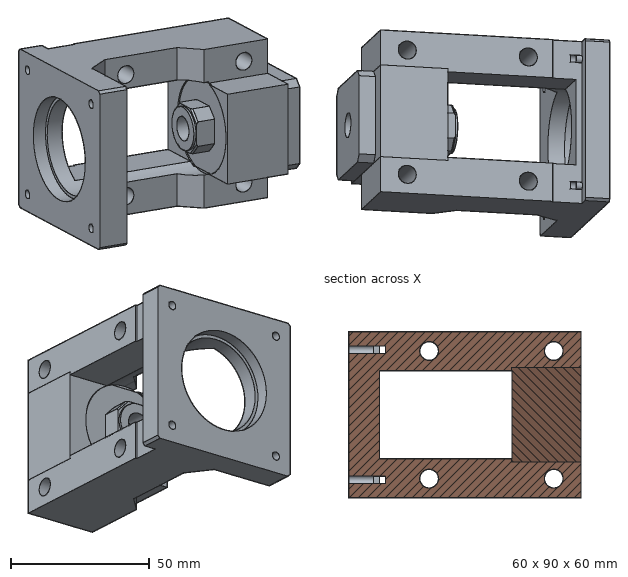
import cadquery as cq


plate_side = 60.0
total_length = 90.0
cover_thickness = 6.0
half_side = plate_side / 2
bracket_length = total_length - cover_thickness

plate_thickness = 11.25
mount_side_thickness = 9.0
plate_corner_chamfer = 1.0
pilot_radius = 19.2
pilot_depth = 5.0
bore_radius = 17.9
motor_hole_radius = 1.575
motor_hole_offset = 23.5
motor_hole_depth = 13.3
bulge_overlap = 0.1
bulge_radius = motor_hole_radius + bulge_overlap

mount_face_x = -25.0
relief_depth = 0.6
relief_end_y = 20.0
relief_x = mount_face_x + relief_depth
rail_inner_x = -2.8
rail_outer_x = 4.05
waist_start_y = 20.4
waist_end_y = 50.3
wide_end_y = 57.7
slot_height = 31.7
bolt_hole_radius = 3.3
bolt_hole_offset_z = 23.0
bolt_hole_first_y = 29.1
bolt_hole_spacing = 45.0

block_side = 34.0
block_length = 25.0
block_front_y = bracket_length - block_length
block_max_x = 19.1
recess_depth = 0.5
recess_y = block_front_y + recess_depth
cover_corner_chamfer = 2.5
screw_bore_radius = 4.5

nut_side = 17.0
nut_corner_chamfer = 3.9
nut_front_y = 52.0
nut_edge_chamfer_length = 0.6
nut_edge_chamfer_width = 0.5
collar_radius = 8.1
collar_length = 0.9


def span_box(x_range, y_range, z_height):
    """Box between two X and two Y limits, centred on Z = 0."""
    x_start, x_end = x_range
    y_start, y_end = y_range
    return cq.Workplane("XY").box(
        x_end - x_start, y_end - y_start, z_height, centered=(False, False, True)
    ).translate((x_start, y_start, 0))


def rod_y(radius, y_start, y_end, x=0, z=0):
    """Cylinder parallel to Y between two Y positions."""
    axis_start = cq.Vector(x, y_start, z)
    return cq.Workplane(cq.Solid.makeCylinder(radius, y_end - y_start, axis_start, cq.Vector(0, 1, 0)))


def rod_x(radius, x_start, x_end, y, z):
    """Cylinder parallel to X between two X positions."""
    axis_start = cq.Vector(x_start, y, z)
    return cq.Workplane(cq.Solid.makeCylinder(radius, x_end - x_start, axis_start, cq.Vector(1, 0, 0)))


def square_bar(side, y_start, y_end, corner_chamfer):
    """Square bar along Y with chamfered corners."""
    bar = span_box((-side / 2, side / 2), (y_start, y_end), side)
    return bar.edges("|Y").chamfer(corner_chamfer)


def bracket_blank():
    """Plan outline of plate and rails extruded to full height, with the plate corners chamfered."""
    outline = [
        (-half_side, 0),
        (half_side, 0),
        (half_side, plate_thickness),
        (rail_outer_x, plate_thickness),
        (rail_inner_x, waist_start_y),
        (rail_inner_x, waist_end_y),
        (rail_outer_x, wide_end_y),
        (rail_outer_x, bracket_length),
        (mount_face_x, bracket_length),
        (mount_face_x, relief_end_y),
        (relief_x, relief_end_y),
        (relief_x, mount_side_thickness),
        (-half_side, mount_side_thickness),
    ]
    blank = cq.Workplane("XY").polyline(outline).close().extrude(half_side, both=True)
    return blank.edges("|Y and (<X or >X)").chamfer(plate_corner_chamfer)


def block_seat():
    """Envelope of the bearing block, also used as the pocket that receives it."""
    return span_box((mount_face_x, block_max_x), (block_front_y, bracket_length), block_side)


def coupling_bore():
    """Pilot for the motor flange and the bore that runs on into the face of the bearing block."""
    return rod_y(pilot_radius, 0, pilot_depth).union(rod_y(bore_radius, 0, recess_y))


def make_bracket():
    slot = span_box((mount_face_x, half_side), (plate_thickness, bracket_length), slot_height)
    bracket = bracket_blank().cut(slot).cut(block_seat()).cut(coupling_bore())

    for x in (-motor_hole_offset, motor_hole_offset):
        for z in (-motor_hole_offset, motor_hole_offset):
            bracket = bracket.cut(rod_y(motor_hole_radius, 0, motor_hole_depth, x, z))

    outside_rail = span_box((-half_side, relief_x), (mount_side_thickness, plate_thickness), plate_side)
    for z in (-motor_hole_offset, motor_hole_offset):
        rod = rod_y(bulge_radius, mount_side_thickness, plate_thickness, -motor_hole_offset, z)
        bracket = bracket.union(rod.intersect(outside_rail))

    for y in (bolt_hole_first_y, bolt_hole_first_y + bolt_hole_spacing):
        for z in (-bolt_hole_offset_z, bolt_hole_offset_z):
            bracket = bracket.cut(rod_x(bolt_hole_radius, mount_face_x, rail_outer_x, y, z))
    return bracket


def make_bearing_block():
    """Block with a shallow round recess in its front face and the screw bore."""
    screw_bore = rod_y(screw_bore_radius, block_front_y, bracket_length)
    return block_seat().cut(coupling_bore()).cut(screw_bore)


def make_end_cover():
    cover = square_bar(block_side, bracket_length, total_length, cover_corner_chamfer)
    return cover.cut(rod_y(screw_bore_radius, bracket_length, total_length))


def make_lock_nut():
    """Eight-sided nut standing on the recess floor, with a round collar on its front face."""
    nut = square_bar(nut_side, nut_front_y, recess_y, nut_corner_chamfer)
    diagonal_front_edges = nut.faces("<Y").edges("not(|X or |Z)")
    nut = diagonal_front_edges.chamfer(nut_edge_chamfer_width, nut_edge_chamfer_length)
    collar_front_y = nut_front_y - collar_length
    nut = nut.union(rod_y(collar_radius, collar_front_y, nut_front_y))
    return nut.cut(rod_y(screw_bore_radius, collar_front_y, recess_y))


bracket = make_bracket()
bearing_block = make_bearing_block()
end_cover = make_end_cover()
lock_nut = make_lock_nut()

bodies = [bracket, bearing_block, end_cover, lock_nut]
result = cq.Compound.makeCompound([body.solids().val() for body in bodies])